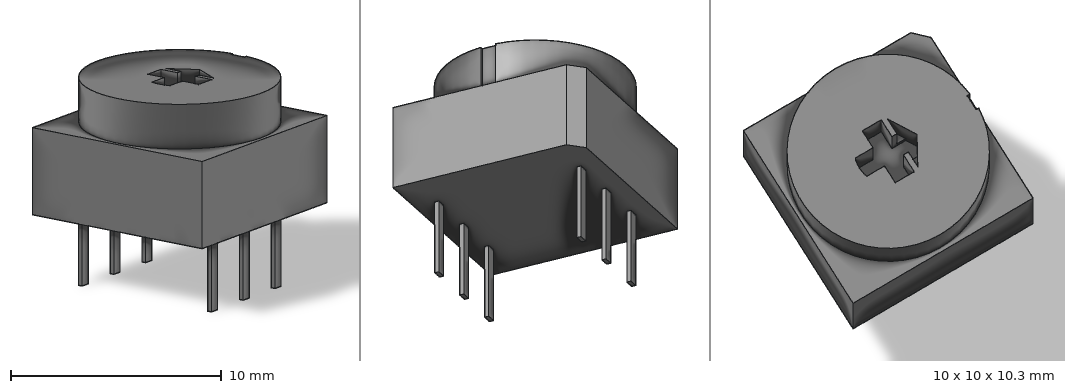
import cadquery as cq
import math

body_size = 10.0
body_height = 4.3
key_chamfer = 0.7

dial_radius = 4.8
dial_height = 2.2
dial_top = body_height + dial_height

notch_width = 0.8
notch_floor_y = 4.63

cross_depth = 2.0
cross_length_x = 3.0
cross_arm_width = 1.05
arrow_depth = 1.7
recess_radius = 1.6
arrow_corner_angle = 30

pin_pitch = 2.54
pin_row_spacing = 3 * pin_pitch
pins_per_row = 3
pin_thickness = 0.22
pin_width = 0.5
pin_length = 3.8


def make_housing():
    housing = cq.Workplane("XY").rect(body_size, body_size).extrude(body_height)
    return housing.edges("|Z and <X and >Y").chamfer(key_chamfer)


def make_dial():
    return cq.Workplane("XY").workplane(offset=body_height).circle(dial_radius).extrude(dial_height)


def make_notch():
    radial_length = dial_radius - notch_floor_y
    return (
        cq.Workplane("XY")
        .workplane(offset=dial_top)
        .center(0, notch_floor_y + radial_length / 2)
        .rect(notch_width, radial_length)
        .extrude(-dial_height)
    )


def make_arrow():
    base_x = recess_radius * math.cos(math.radians(arrow_corner_angle))
    base_y = recess_radius * math.sin(math.radians(arrow_corner_angle))
    return (
        cq.Workplane("XY")
        .workplane(offset=dial_top)
        .polyline([(-base_x, base_y), (base_x, base_y), (0, recess_radius)])
        .close()
        .extrude(-arrow_depth)
    )


def make_cross():
    top = cq.Workplane("XY").workplane(offset=dial_top)
    bar_x = top.rect(cross_length_x, cross_arm_width).extrude(-cross_depth)

    half_arm = cross_arm_width / 2
    round_end_y = -math.sqrt(recess_radius**2 - half_arm**2)
    tip_side_y = recess_radius - half_arm * math.tan(math.radians(arrow_corner_angle))
    bar_y = (
        top.moveTo(-half_arm, round_end_y)
        .threePointArc((0, -recess_radius), (half_arm, round_end_y))
        .lineTo(half_arm, tip_side_y)
        .lineTo(0, recess_radius)
        .lineTo(-half_arm, tip_side_y)
        .close()
        .extrude(-cross_depth)
    )
    return bar_x.union(bar_y)


def make_pins():
    return (
        cq.Workplane("XY")
        .rarray(pin_row_spacing, pin_pitch, 2, pins_per_row)
        .rect(pin_thickness, pin_width)
        .extrude(-pin_length)
    )


result = (
    make_housing()
    .union(make_dial())
    .union(make_pins())
    .cut(make_notch())
    .cut(make_cross())
    .cut(make_arrow())
)